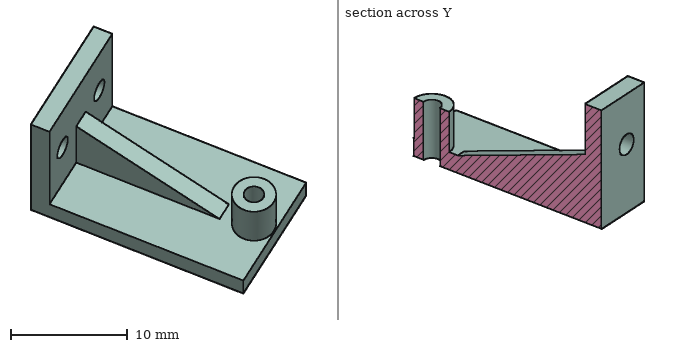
import cadquery as cq

plate_thickness = 1.8
base_length = 20.4
width = 12.0
wall_height = 10.0

wall_hole_diameter = 2.0
wall_hole_spacing = 7.0
wall_hole_z = plate_thickness + wall_height / 2

rib_thickness = 1.8
rib_height = 5.0
rib_length = 13.75

post_diameter = 3.8
post_bore_diameter = 1.75
post_height = 4.0
post_x = 18.4


def make_base():
    return cq.Workplane("XY").box(base_length, width, plate_thickness, centered=(False, True, False))


def make_wall():
    wall = (
        cq.Workplane("XY", origin=(0, 0, plate_thickness))
        .box(plate_thickness, width, wall_height, centered=(False, True, False))
    )
    holes = (
        cq.Workplane("YZ", origin=(0, 0, wall_hole_z))
        .rarray(wall_hole_spacing, 1, 2, 1)
        .circle(wall_hole_diameter / 2)
        .extrude(plate_thickness)
    )
    return wall.cut(holes)


def make_rib():
    return (
        cq.Workplane("XZ", origin=(plate_thickness, 0, plate_thickness))
        .lineTo(rib_length, 0)
        .lineTo(0, rib_height)
        .close()
        .extrude(rib_thickness / 2, both=True)
    )


def make_post():
    return (
        cq.Workplane("XY", origin=(post_x, 0, plate_thickness))
        .circle(post_diameter / 2)
        .extrude(post_height)
    )


def make_post_bore():
    return (
        cq.Workplane("XY", origin=(post_x, 0, 0))
        .circle(post_bore_diameter / 2)
        .extrude(plate_thickness + post_height)
    )


bracket = make_base().union(make_wall()).union(make_rib()).union(make_post())
result = bracket.cut(make_post_bore())